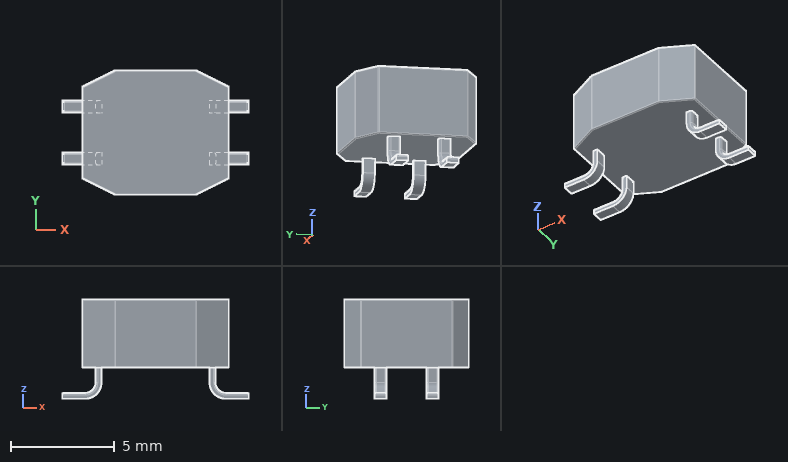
import cadquery as cq

overall_length = 9.0
overall_width = 6.0
overall_height = 4.81

housing_length = 7.065
housing_height = 3.3
corner_cut_x = 1.58
corner_cut_y = 0.79
housing_edge_radius = 0.05
housing_bottom = overall_height - housing_height

lead_width = 0.59
lead_thickness = 0.3
lead_inner_bend_radius = 0.5
lead_outer_bend_radius = lead_inner_bend_radius + lead_thickness
lead_edge_radius = 0.1
lead_pitch = 2.5
lead_reach = 1.91


def make_housing():
    half_length = housing_length / 2
    half_width = overall_width / 2
    flat_x = half_length - corner_cut_x
    flat_y = half_width - corner_cut_y
    outline = [
        (-flat_x, -half_width),
        (flat_x, -half_width),
        (half_length, -flat_y),
        (half_length, flat_y),
        (flat_x, half_width),
        (-flat_x, half_width),
        (-half_length, flat_y),
        (-half_length, -flat_y),
    ]
    block = cq.Workplane("XY").workplane(offset=housing_bottom).polyline(outline).close()
    return block.extrude(housing_height).edges().fillet(housing_edge_radius)


def make_left_lead(center_y):
    """Gull-wing lead on the -X side, with rounded edges around its upper, outward face."""
    tip_x = -overall_length / 2
    leg_inward_x = tip_x + lead_reach
    leg_outward_x = leg_inward_x - lead_thickness
    bend_x = leg_inward_x - lead_outer_bend_radius
    bend_z = lead_outer_bend_radius

    strip = (
        cq.Workplane("XZ", origin=(0, center_y, 0))
        .moveTo(tip_x, 0)
        .lineTo(bend_x, 0)
        .radiusArc((leg_inward_x, bend_z), -lead_outer_bend_radius)
        .lineTo(leg_inward_x, housing_bottom)
        .lineTo(leg_outward_x, housing_bottom)
        .lineTo(leg_outward_x, bend_z)
        .radiusArc((bend_x, lead_thickness), lead_inner_bend_radius)
        .lineTo(tip_x, lead_thickness)
        .close()
        .extrude(lead_width / 2, both=True)
    )
    foot_tip_edge = cq.selectors.NearestToPointSelector((tip_x, center_y, lead_thickness))
    foot_long_edges = [
        cq.selectors.NearestToPointSelector(
            ((tip_x + bend_x) / 2, center_y + side * lead_width / 2, lead_thickness)
        )
        for side in (-1, 1)
    ]
    rounded_edges = foot_tip_edge + foot_long_edges[0] + foot_long_edges[1]
    return strip.edges(rounded_edges).fillet(lead_edge_radius)


def make_leads():
    leads = []
    for center_y in (-lead_pitch / 2, lead_pitch / 2):
        left_lead = make_left_lead(center_y)
        leads.append(left_lead)
        leads.append(left_lead.mirror("YZ"))
    return leads


housing = make_housing()
leads = make_leads()

result = cq.Compound.makeCompound([housing.val(), *[lead.val() for lead in leads]])